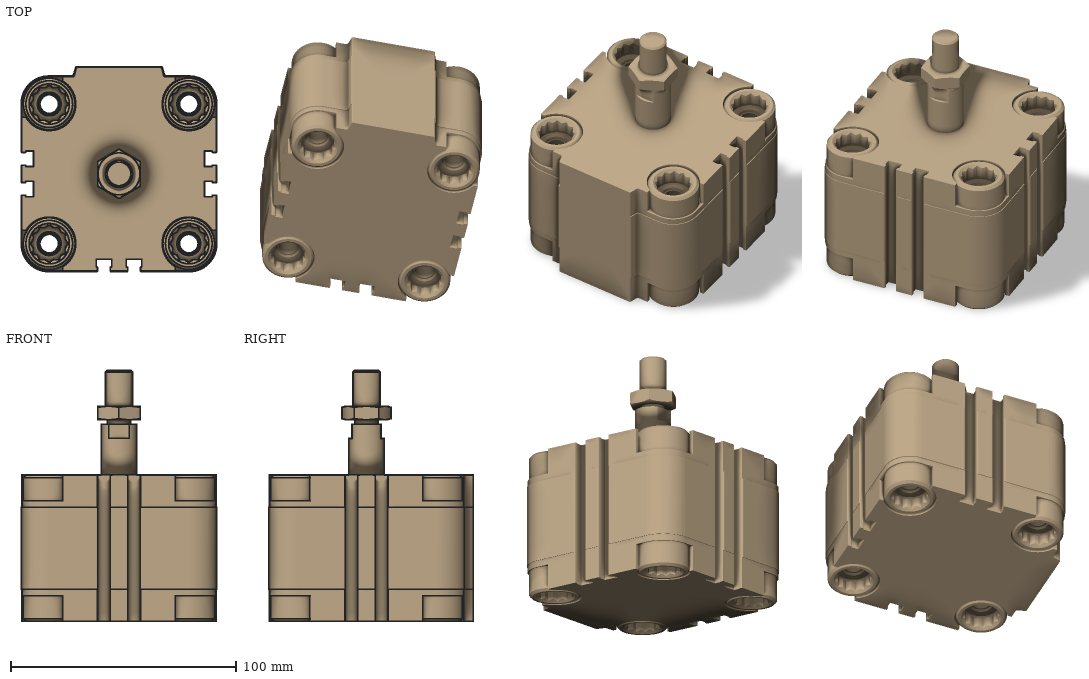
import cadquery as cq
import math

BODY_HEIGHT = 65.0
CAP_HALF_WIDTH = 43.2
SLEEVE_STEP = 0.3
SLEEVE_HALF_WIDTH = CAP_HALF_WIDTH + SLEEVE_STEP
SHOULDER_HEIGHT = 14.3
CORNER_OFFSET = 31.0
CUT_MARGIN = 1.1

PAD_FACE_Y = 47.5
PAD_HALF_TOP = 18.8
PAD_HALF_BASE = 20.0
PAD_TOE_RADIUS = 1.1
PAD_APRON = 3.3
PAD_EDGE_RADIUS = 0.7

SLOT_OFFSET = 6.7
SLOT_WIDTH = 6.8
SLOT_FLOOR = 38.0
LIP_GAP = 5.6
LIP_INNER_FACE = 41.4
LIP_EDGE_RADIUS = 0.7
LIP_INNER_RADIUS = 0.5

HEAD_DIAMETER = 23.0
HEAD_CHAMFER = 1.1
RELIEF_DIAMETER = 23.6
RELIEF_DEPTH = 11.4
RELIEF_EDGE = 25.1
SOCKET_TIP_DIAMETER = 16.5
SOCKET_DEPTH = 6.1
SOCKET_MOUTH_DIAMETER = 18.0
SOCKET_MOUTH_BOTTOM_DIAMETER = 14.3
SOCKET_MOUTH_DEPTH = 1.8
SEAT_DEPTH = 7.8
COUNTERSINK_DIAMETER = 10.6
COUNTERSINK_BOTTOM_DIAMETER = 9.6
COUNTERSINK_HEIGHT = 1.0
BOLT_HOLE_DIAMETER = 8.3

ROD_DIAMETER = 16.0
ROD_SHOULDER_Z = 87.6
FLATS_BOTTOM_Z = 81.3
FLATS_WIDTH = 12.9
NECK_DIAMETER = 10.5
THREAD_DIAMETER = 12.0
ROD_TOP_Z = 111.5
TIP_CHAMFER = 0.8

NUT_BOTTOM_Z = 89.5
NUT_HEIGHT = 6.0
NUT_ACROSS_FLATS = 19.0
NUT_FACE_DIAMETER = 18.6
NUT_CHAMFER_HEIGHT = 0.6


def rounded_square_prism(half_width, bottom, height):
    return (
        cq.Workplane("XY")
        .workplane(offset=bottom)
        .rect(2 * half_width, 2 * half_width)
        .extrude(height)
        .edges("|Z")
        .fillet(half_width - CORNER_OFFSET)
    )


def pad_prism(half_width, bottom, height):
    """Tapered pad on the +Y side of a square of this half width, with its toe rounding."""
    step = half_width - CAP_HALF_WIDTH
    top = PAD_HALF_TOP + step
    base = PAD_HALF_BASE + step
    apron = base + PAD_APRON
    pad = (
        cq.Workplane("XY")
        .workplane(offset=bottom)
        .moveTo(-apron, 0)
        .lineTo(-apron, half_width)
        .lineTo(-base, half_width)
        .lineTo(-top, PAD_FACE_Y)
        .lineTo(top, PAD_FACE_Y)
        .lineTo(base, half_width)
        .lineTo(apron, half_width)
        .lineTo(apron, 0)
        .close()
        .extrude(height)
    )
    mid_height = bottom + height / 2
    for side in (-1, 1):
        toe = cq.selectors.NearestToPointSelector((side * base, half_width, mid_height))
        pad = pad.edges(toe).fillet(PAD_TOE_RADIUS)
    return pad.faces(">Y").edges("|Z").fillet(PAD_EDGE_RADIUS)


def block(half_width, bottom, height):
    return rounded_square_prism(half_width, bottom, height).union(pad_prism(half_width, bottom, height))


def slot_cutter():
    """T-slot on the +X side at Y = 0, with lip edges rounded at the mouth and at the inner corner."""
    half_slot = SLOT_WIDTH / 2
    half_gap = LIP_GAP / 2
    half_mouth = half_gap + LIP_EDGE_RADIUS
    mouth_start = SLEEVE_HALF_WIDTH - LIP_EDGE_RADIUS
    outside = SLEEVE_HALF_WIDTH + CUT_MARGIN
    half_cutter = (
        cq.Workplane("XY")
        .moveTo(SLOT_FLOOR, 0)
        .lineTo(SLOT_FLOOR, half_slot)
        .lineTo(LIP_INNER_FACE, half_slot)
        .lineTo(LIP_INNER_FACE, half_gap + LIP_INNER_RADIUS)
        .radiusArc((LIP_INNER_FACE + LIP_INNER_RADIUS, half_gap), -LIP_INNER_RADIUS)
        .lineTo(mouth_start, half_gap)
        .radiusArc((SLEEVE_HALF_WIDTH, half_mouth), -LIP_EDGE_RADIUS)
        .lineTo(outside, half_mouth)
        .lineTo(outside, 0)
        .close()
        .extrude(BODY_HEIGHT)
    )
    return half_cutter.union(half_cutter.mirror("XZ")).clean()


def corner_relief():
    """Square-cornered relief at the top of the +X +Y corner."""
    size = SLEEVE_HALF_WIDTH + CUT_MARGIN - RELIEF_EDGE
    return cq.Workplane("XY").box(size, size, RELIEF_DEPTH, centered=False).translate(
        (RELIEF_EDGE, RELIEF_EDGE, BODY_HEIGHT - RELIEF_DEPTH)
    )


def at_corner(bottom):
    return cq.Workplane("XY").workplane(offset=bottom).center(CORNER_OFFSET, CORNER_OFFSET)


def corner_cylinder(diameter, depth):
    """Cylinder on the axis of the +X +Y corner, from the top face down to this depth."""
    return at_corner(BODY_HEIGHT - depth).circle(diameter / 2).extrude(depth)


def screw_head():
    return corner_cylinder(HEAD_DIAMETER, RELIEF_DEPTH).faces(">Z").edges().chamfer(HEAD_CHAMFER)


def corner_cone(top_depth, top_diameter, height, bottom_diameter):
    """Cone frustum on the axis of the +X +Y corner, its top this deep below the top face."""
    return (
        at_corner(BODY_HEIGHT - top_depth)
        .circle(top_diameter / 2)
        .workplane(offset=-height)
        .circle(bottom_diameter / 2)
        .loft()
    )


def socket_cutter():
    """Twelve-point socket with a conical mouth, a round seat and a countersink below it."""
    cutter = corner_cylinder(SOCKET_TIP_DIAMETER, SEAT_DEPTH)
    cutter = cutter.cut(corner_cylinder(SOCKET_TIP_DIAMETER, SOCKET_DEPTH))
    for turn in (0, 30):
        hexagon = (
            cq.Workplane("XY")
            .polygon(6, SOCKET_TIP_DIAMETER)
            .extrude(SOCKET_DEPTH)
            .rotate((0, 0, 0), (0, 0, 1), turn)
            .translate((CORNER_OFFSET, CORNER_OFFSET, BODY_HEIGHT - SOCKET_DEPTH))
        )
        cutter = cutter.union(hexagon)
    mouth = corner_cone(0, SOCKET_MOUTH_DIAMETER, SOCKET_MOUTH_DEPTH, SOCKET_MOUTH_BOTTOM_DIAMETER)
    countersink = corner_cone(SEAT_DEPTH, COUNTERSINK_DIAMETER, COUNTERSINK_HEIGHT, COUNTERSINK_BOTTOM_DIAMETER)
    return cutter.union(mouth).union(countersink)


def placed(shape, quarter, upside_down):
    """The top-corner shape turned to another corner, and to the bottom end if upside down."""
    if upside_down:
        shape = shape.mirror("XY", (0, 0, BODY_HEIGHT / 2))
    return shape.rotate((0, 0, 0), (0, 0, 1), 90 * quarter)


def make_housing():
    housing = block(CAP_HALF_WIDTH, 0, BODY_HEIGHT)
    sleeve_height = BODY_HEIGHT - 2 * SHOULDER_HEIGHT
    housing = housing.union(block(SLEEVE_HALF_WIDTH, SHOULDER_HEIGHT, sleeve_height))

    for side_angle in (0, 180, 270):
        for offset in (-SLOT_OFFSET, SLOT_OFFSET):
            slot = slot_cutter().translate((0, offset, 0))
            housing = housing.cut(slot.rotate((0, 0, 0), (0, 0, 1), side_angle))

    clearance = corner_relief().union(corner_cylinder(RELIEF_DIAMETER, RELIEF_DEPTH))
    head = screw_head()
    socket = socket_cutter()
    bolt_hole = at_corner(0).circle(BOLT_HOLE_DIAMETER / 2).extrude(BODY_HEIGHT)
    for quarter in range(4):
        for upside_down in (False, True):
            housing = housing.cut(placed(clearance, quarter, upside_down))
            housing = housing.union(placed(head, quarter, upside_down))
            housing = housing.cut(placed(socket, quarter, upside_down))
    for quarter in range(4):
        housing = housing.cut(placed(bolt_hole, quarter, False))
    return housing


def cylinder(diameter, bottom, top):
    return cq.Workplane("XY").workplane(offset=bottom).circle(diameter / 2).extrude(top - bottom)


def make_rod():
    """Rod with two wrench flats facing -Y and +Y, a neck and a thread end."""
    flats = (
        cq.Workplane("XY")
        .workplane(offset=FLATS_BOTTOM_Z)
        .rect(2 * ROD_DIAMETER, FLATS_WIDTH)
        .extrude(ROD_SHOULDER_Z - FLATS_BOTTOM_Z)
    )
    wrench_end = cylinder(ROD_DIAMETER, FLATS_BOTTOM_Z, ROD_SHOULDER_Z).intersect(flats)
    thread = cylinder(THREAD_DIAMETER, NUT_BOTTOM_Z, ROD_TOP_Z).faces(">Z").edges().chamfer(TIP_CHAMFER)
    return (
        cylinder(ROD_DIAMETER, BODY_HEIGHT, FLATS_BOTTOM_Z)
        .union(wrench_end)
        .union(cylinder(NECK_DIAMETER, ROD_SHOULDER_Z, NUT_BOTTOM_Z))
        .union(thread)
    )


def make_nut():
    """Hexagon nut with two corners along Y and its corners chamfered at both ends."""
    corner_radius = NUT_ACROSS_FLATS / math.sqrt(3)
    hexagon = (
        cq.Workplane("XY")
        .workplane(offset=NUT_BOTTOM_Z)
        .polygon(6, 2 * corner_radius)
        .extrude(NUT_HEIGHT)
        .rotate((0, 0, 0), (0, 0, 1), 30)
    )
    envelope = cylinder(2 * corner_radius, NUT_BOTTOM_Z, NUT_BOTTOM_Z + NUT_HEIGHT)
    envelope = envelope.faces("<Z or >Z").edges().chamfer(NUT_CHAMFER_HEIGHT, corner_radius - NUT_FACE_DIAMETER / 2)
    bore = cylinder(THREAD_DIAMETER, NUT_BOTTOM_Z, NUT_BOTTOM_Z + NUT_HEIGHT)
    return hexagon.intersect(envelope).cut(bore)


housing = make_housing()
rod = make_rod()
nut = make_nut()

result = cq.Compound.makeCompound([housing.val(), rod.val(), nut.val()])